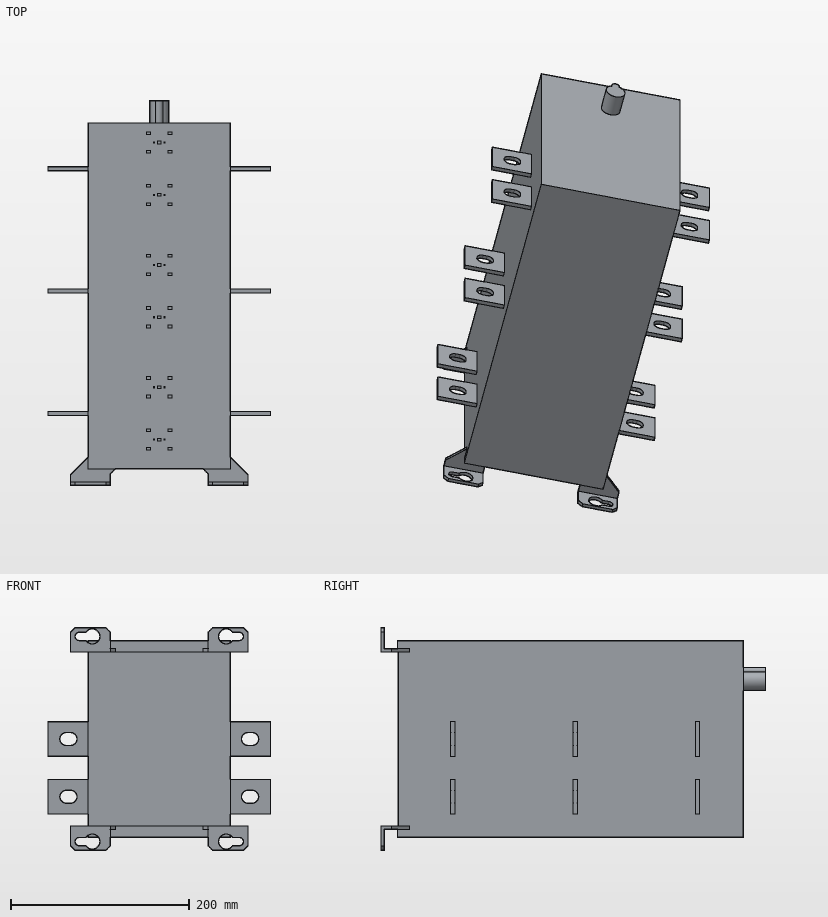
import cadquery as cq

OVERALL_LENGTH = 432.0
OVERALL_SPAN = 250.0

BODY_WIDTH = 160.0
BODY_HEIGHT = 220.8
BODY_FRONT = 18.5
BODY_LENGTH = 388.5
BODY_REAR = BODY_FRONT + BODY_LENGTH

SHEET = 4.0
FOOT_WIDTH = 45.0
FOOT_OUTER_X = 100.0
FOOT_INNER_X = FOOT_OUTER_X - FOOT_WIDTH
FOOT_TOP_Z = OVERALL_SPAN / 2
FOOT_HEIGHT = 27.5
FOOT_BEND_Z = FOOT_TOP_Z - FOOT_HEIGHT
FOOT_CHAMFER = 5.0
OUTER_FLARE_Y = 12.0
INNER_FLARE_Y = 13.0
SHELF_EMBED = 4.5

PANEL_RECESS = 1.0
PANEL_HEIGHT = 2 * FOOT_BEND_Z

KEYHOLE_EDGE_DISTANCE = 10.0
KEYHOLE_Z = FOOT_TOP_Z - KEYHOLE_EDGE_DISTANCE
KEYHOLE_X = 75.0
KEYHOLE_DIAMETER = 17.0
KEYHOLE_SLOT = 9.0
KEYHOLE_TRAVEL = 14.5

TERMINAL_PITCH = 137.5
TERMINAL_MIDDLE_Y = 218.0
TERMINAL_ROWS_Z = (0.0, -65.0)
TERMINAL_HEIGHT = 39.0
TERMINAL_THICKNESS = 4.8
TERMINAL_HOLE_X = 102.0
TERMINAL_HOLE_LENGTH = 19.0
TERMINAL_HOLE_WIDTH = 14.3

SHAFT_Z = 65.2
SHAFT_DIAMETER = 21.5
KEY_WIDTH = 8.5
KEY_TOP = 15.0

MARK_DEPTH = 2.0
MARK_GROUP_OFFSET = 29.5
CORNER_MARK_X = 12.0
CORNER_MARK_Y = 10.5
LARGE_MARK = (4.5, 3.0)
SMALL_MARK = (1.5, 1.5)
SMALL_MARK_X = 6.0

terminal_stations = [TERMINAL_MIDDLE_Y + i * TERMINAL_PITCH for i in (-1, 0, 1)]


def box_from_front(width, length, height, front):
    """Box centred on X and Z whose front face lies at Y = front."""
    return cq.Workplane("XY").box(width, length, height).translate((0, front + length / 2, 0))


def enclosure():
    body = box_from_front(BODY_WIDTH, BODY_LENGTH, BODY_HEIGHT, BODY_FRONT)
    return body.cut(box_from_front(BODY_WIDTH, PANEL_RECESS, PANEL_HEIGHT, BODY_FRONT))


def foot():
    """Upper foot on the +X side: a shelf into the enclosure and an upright flange."""
    shelf_rear = BODY_FRONT + SHELF_EMBED
    body_side = BODY_WIDTH / 2
    flare_rear = OUTER_FLARE_Y + FOOT_OUTER_X - body_side
    shelf = (
        cq.Workplane("XY", origin=(0, 0, FOOT_BEND_Z))
        .moveTo(FOOT_INNER_X, 0)
        .lineTo(FOOT_OUTER_X, 0)
        .lineTo(FOOT_OUTER_X, OUTER_FLARE_Y)
        .lineTo(body_side, flare_rear)
        .lineTo(body_side - SHELF_EMBED, flare_rear)
        .lineTo(body_side - SHELF_EMBED, shelf_rear)
        .lineTo(FOOT_INNER_X - (shelf_rear - INNER_FLARE_Y), shelf_rear)
        .lineTo(FOOT_INNER_X, INNER_FLARE_Y)
        .close()
        .extrude(SHEET)
    )
    flange = (
        cq.Workplane("XY")
        .box(FOOT_WIDTH, SHEET, FOOT_HEIGHT, centered=False)
        .edges("|Y and >Z")
        .chamfer(FOOT_CHAMFER)
        .translate((FOOT_INNER_X, 0, FOOT_BEND_Z))
    )
    return shelf.union(flange).cut(keyhole())


def keyhole():
    """Round entry with a narrower slot running outwards."""
    plane = cq.Workplane("XZ", origin=(KEYHOLE_X, 0, KEYHOLE_Z))
    entry = plane.circle(KEYHOLE_DIAMETER / 2).extrude(-SHEET)
    slot = (
        plane.center(KEYHOLE_TRAVEL / 2, 0)
        .slot2D(KEYHOLE_TRAVEL + KEYHOLE_SLOT, KEYHOLE_SLOT)
        .extrude(-SHEET)
    )
    return entry.union(slot)


def terminal_bar(y, z):
    """Flat bar through the enclosure with a slotted hole near each tip."""
    return (
        cq.Workplane("XZ")
        .rect(OVERALL_SPAN, TERMINAL_HEIGHT)
        .pushPoints([(-TERMINAL_HOLE_X, 0), (TERMINAL_HOLE_X, 0)])
        .slot2D(TERMINAL_HOLE_LENGTH, TERMINAL_HOLE_WIDTH)
        .extrude(TERMINAL_THICKNESS / 2, both=True)
        .translate((0, y, z))
    )


def shaft():
    length = OVERALL_LENGTH - BODY_REAR
    plane = cq.Workplane("XZ", origin=(0, BODY_REAR, SHAFT_Z))
    bar = plane.circle(SHAFT_DIAMETER / 2).extrude(-length)
    key_length = KEY_TOP + KEY_WIDTH / 2
    key = plane.center(0, KEY_TOP - key_length / 2).slot2D(key_length, KEY_WIDTH, 90).extrude(-length)
    return bar.union(key)


def marks(centres, size):
    """Shallow rectangular recesses at every group of the top face."""
    group_stations = [y + side * MARK_GROUP_OFFSET for y in terminal_stations for side in (-1, 1)]
    points = [(x, station + y) for station in group_stations for x, y in centres]
    top_face = cq.Workplane("XY", origin=(0, 0, BODY_HEIGHT / 2))
    return top_face.pushPoints(points).rect(*size).extrude(-MARK_DEPTH)


corner_marks = [(i * CORNER_MARK_X, j * CORNER_MARK_Y) for i in (-1, 1) for j in (-1, 1)]
result = enclosure()
result = result.cut(marks(corner_marks + [(0, 0)], LARGE_MARK))
result = result.cut(marks([(-SMALL_MARK_X, 0), (SMALL_MARK_X, 0)], SMALL_MARK))
for station in terminal_stations:
    for row_z in TERMINAL_ROWS_Z:
        result = result.union(terminal_bar(station, row_z))
right_top_foot = foot()
top_feet = right_top_foot.union(right_top_foot.mirror("YZ"))
result = result.union(top_feet).union(top_feet.mirror("XY"))
result = result.union(shaft())